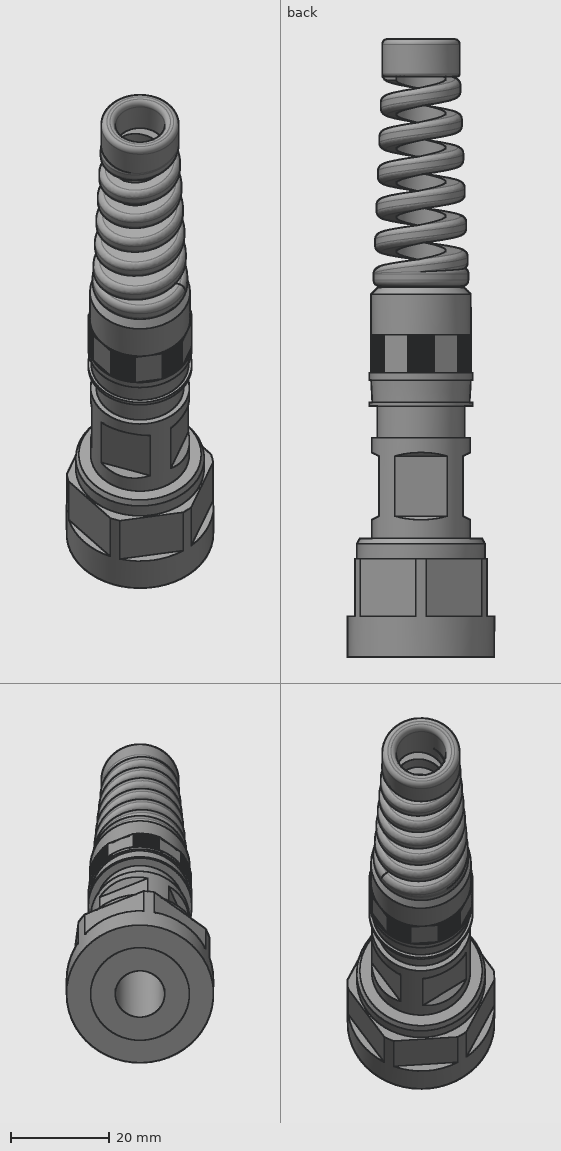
import cadquery as cq
import math

NUT_RADIUS = 15.0
NUT_HEX_APOTHEM = 13.5
NUT_HEX_BOTTOM = 8.3
NUT_HEX_TOP = 20.0
NUT_SHOULDER_RADIUS = 13.1
NUT_TOP = 24.2
NUT_CHAMFER_WIDTH = 0.6
NUT_CHAMFER_HEIGHT = 1.1

BODY_RADIUS = 10.1
BODY_TOP = 44.7
FLAT_APOTHEM = 8.6
FLAT_BOTTOM = 28.7
FLAT_TOP = 40.9
FLAT_END_RISE = 0.8
THROUGH_RADIUS = 5.0

INSERT_RADIUS = 9.0
INSERT_TOP = 65.5
D_FLAT_DISTANCE = 4.0

WASHER_RADIUS = 10.6
WASHER_BOTTOM = 51.1
WASHER_THICKNESS = 0.8
WASHER_TOP = WASHER_BOTTOM + WASHER_THICKNESS

SKIRT_BOTTOM_RADIUS = 10.0
SLEEVE_RADIUS = 10.2
FLANGE_RADIUS = 10.6
FLANGE_BOTTOM = 56.4
FLANGE_TOP = 58.0
KNURL_TOP = 65.6
KNURL_SIDES = 6
KNURL_FLAT_APOTHEM = 10.2
KNURL_TEETH_PER_SIDE = 16
KNURL_DEPTH = 0.19
SLEEVE_EDGE = 74.0
SLEEVE_TOP = 75.3
SLEEVE_TOP_RADIUS = 8.8

SPIRAL_BORE_RADIUS = 5.0
STRAND_HEIGHT = 3.8
STRAND_FILLET = 1.3
STRAND_ROOT_RADIUS = 2.5
SPIRAL_START = 77.5
SPIRAL_BOTTOM_RADIUS = 9.7
SPIRAL_END = 119.4
SPIRAL_TURNS = 6
SPIRAL_HEIGHT = SPIRAL_END - SPIRAL_START
SPIRAL_PITCH = SPIRAL_HEIGHT / SPIRAL_TURNS
TOTAL_HEIGHT = 126.0
END_RING_RADIUS = 7.9
END_RING_BOTTOM = 118.3
END_RING_TOP_FILLET = 1.1
END_RING_BOTTOM_FILLET = 0.6


def cylinder(radius, bottom, top):
    return cq.Workplane("XY").workplane(offset=bottom).circle(radius).extrude(top - bottom)


def cone(bottom_radius, top_radius, bottom, top):
    return cq.Workplane(cq.Solid.makeCone(bottom_radius, top_radius, top - bottom, cq.Vector(0, 0, bottom)))


def polar(radius, degrees):
    angle = math.radians(degrees)
    return (radius * math.cos(angle), radius * math.sin(angle))


def make_coupling_nut():
    base = cylinder(NUT_RADIUS, 0, NUT_HEX_TOP)
    across_corners = 2 * NUT_HEX_APOTHEM / math.cos(math.pi / 6)
    hexagon = (
        cq.Workplane("XY")
        .workplane(offset=NUT_HEX_BOTTOM)
        .polygon(6, across_corners)
        .extrude(NUT_HEX_TOP - NUT_HEX_BOTTOM)
        .rotate((0, 0, 0), (0, 0, 1), 30)
    )
    outside_hexagon = cylinder(across_corners, NUT_HEX_BOTTOM, NUT_HEX_TOP).cut(hexagon)
    shoulder = (
        cylinder(NUT_SHOULDER_RADIUS, NUT_HEX_TOP, NUT_TOP)
        .faces(">Z")
        .chamfer(NUT_CHAMFER_HEIGHT, NUT_CHAMFER_WIDTH)
    )
    bore = cylinder(BODY_RADIUS, 0, NUT_TOP)
    return base.cut(outside_hexagon).union(shoulder).cut(bore)


def make_body():
    body = cylinder(BODY_RADIUS, 0, BODY_TOP).cut(cylinder(THROUGH_RADIUS, 0, BODY_TOP))
    wrench_cut = (
        cq.Workplane("XZ")
        .moveTo(FLAT_APOTHEM, FLAT_BOTTOM)
        .lineTo(BODY_RADIUS, FLAT_BOTTOM - FLAT_END_RISE)
        .lineTo(BODY_RADIUS, FLAT_TOP + FLAT_END_RISE)
        .lineTo(FLAT_APOTHEM, FLAT_TOP)
        .close()
        .extrude(BODY_RADIUS, both=True)
    )
    for angle in (0, 90, 180, 270):
        body = body.cut(wrench_cut.rotate((0, 0, 0), (0, 0, 1), angle))
    return body


def make_insert():
    length = INSERT_TOP - BODY_TOP
    beyond_flat = cq.Workplane("XY").box(
        2 * THROUGH_RADIUS, THROUGH_RADIUS, length, centered=(True, False, False)
    ).translate((0, -D_FLAT_DISTANCE - THROUGH_RADIUS, BODY_TOP))
    d_bore = cylinder(THROUGH_RADIUS, BODY_TOP, INSERT_TOP).cut(beyond_flat)
    return cylinder(INSERT_RADIUS, BODY_TOP, INSERT_TOP).cut(d_bore)


def make_washer():
    ring = cylinder(WASHER_RADIUS, WASHER_BOTTOM, WASHER_TOP)
    return ring.cut(cylinder(INSERT_RADIUS, WASHER_BOTTOM, WASHER_TOP))


def make_knurled_grip():
    """Six flats joined by arcs of fine V-shaped teeth."""
    half_flat = math.degrees(math.acos(KNURL_FLAT_APOTHEM / FLANGE_RADIUS))
    side_angle = 360 / KNURL_SIDES
    tooth_angle = (side_angle - 2 * half_flat) / KNURL_TEETH_PER_SIDE
    outline = []
    for side in range(KNURL_SIDES):
        first_tooth = side * side_angle + half_flat
        outline.append(polar(FLANGE_RADIUS, first_tooth))
        for tooth in range(KNURL_TEETH_PER_SIDE):
            start = first_tooth + tooth * tooth_angle
            outline.append(polar(FLANGE_RADIUS - KNURL_DEPTH, start + tooth_angle / 2))
            outline.append(polar(FLANGE_RADIUS, start + tooth_angle))
    return (
        cq.Workplane("XY")
        .workplane(offset=FLANGE_TOP)
        .polyline(outline)
        .close()
        .extrude(KNURL_TOP - FLANGE_TOP)
    )


def strand_section(outer_radius, centre_height):
    """Section of the spiral strand in the XZ plane, with rounded outer corners."""
    half = STRAND_HEIGHT / 2
    corner = outer_radius - STRAND_FILLET
    straight = half - STRAND_FILLET
    mid = STRAND_FILLET * math.sqrt(0.5)
    return (
        cq.Workplane("XZ", origin=(0, 0, centre_height))
        .moveTo(STRAND_ROOT_RADIUS, -half)
        .lineTo(corner, -half)
        .threePointArc((corner + mid, -straight - mid), (outer_radius, -straight))
        .lineTo(outer_radius, straight)
        .threePointArc((corner + mid, straight + mid), (corner, half))
        .lineTo(STRAND_ROOT_RADIUS, half)
        .close()
    )


def make_spiral_strand():
    """Strand on a right-handed conical helix, swept from its narrow end and turned over."""
    taper = math.degrees(math.atan((SPIRAL_BOTTOM_RADIUS - END_RING_RADIUS) / SPIRAL_HEIGHT))
    helix = cq.Wire.makeHelix(SPIRAL_PITCH, SPIRAL_HEIGHT, END_RING_RADIUS, angle=taper)
    strand = strand_section(END_RING_RADIUS, 0).sweep(cq.Workplane(helix), isFrenet=True)
    return strand.rotate((0, 0, 0), (1, 0, 0), 180).translate((0, 0, SPIRAL_END))


def make_end_ring():
    ring = cylinder(END_RING_RADIUS, END_RING_BOTTOM, TOTAL_HEIGHT)
    ring = ring.faces("<Z").edges().fillet(END_RING_BOTTOM_FILLET)
    return ring.faces(">Z").edges().fillet(END_RING_TOP_FILLET)


def make_end_ring_mouth():
    """Rounded flare of the bore through the end ring."""
    bore = cylinder(SPIRAL_BORE_RADIUS, END_RING_BOTTOM, TOTAL_HEIGHT)
    blank = cylinder(END_RING_RADIUS, END_RING_BOTTOM, TOTAL_HEIGHT).cut(bore)
    inner_edge = cq.selectors.RadiusNthSelector(0)
    rounded = blank.faces(">Z").edges(inner_edge).fillet(END_RING_TOP_FILLET)
    return blank.cut(rounded)


def make_gland_nut():
    skirt = cone(SKIRT_BOTTOM_RADIUS, SLEEVE_RADIUS, WASHER_TOP, FLANGE_BOTTOM)
    flange = cylinder(FLANGE_RADIUS, FLANGE_BOTTOM, FLANGE_TOP)
    sleeve = cylinder(SLEEVE_RADIUS, KNURL_TOP, SLEEVE_EDGE)
    sleeve_cone = cone(SLEEVE_RADIUS, SLEEVE_TOP_RADIUS, SLEEVE_EDGE, SLEEVE_TOP)
    neck = cylinder(SLEEVE_TOP_RADIUS - STRAND_FILLET / 2, SLEEVE_TOP, SPIRAL_START)
    bottom_ring = strand_section(SPIRAL_BOTTOM_RADIUS, SPIRAL_START).revolve(360, (0, 0, 0), (0, 1, 0))
    nut = skirt.union(flange).union(make_knurled_grip()).union(sleeve).union(sleeve_cone)
    nut = nut.union(neck).union(bottom_ring).union(make_end_ring()).union(make_spiral_strand())
    nut = nut.cut(cylinder(INSERT_RADIUS, WASHER_TOP, INSERT_TOP))
    nut = nut.cut(cylinder(SPIRAL_BORE_RADIUS, INSERT_TOP, TOTAL_HEIGHT))
    return nut.cut(make_end_ring_mouth())


coupling_nut = make_coupling_nut()
body = make_body()
insert = make_insert()
washer = make_washer()
gland_nut = make_gland_nut()

result = cq.Compound.makeCompound(
    [coupling_nut.val(), body.val(), insert.val(), washer.val(), gland_nut.val()]
)